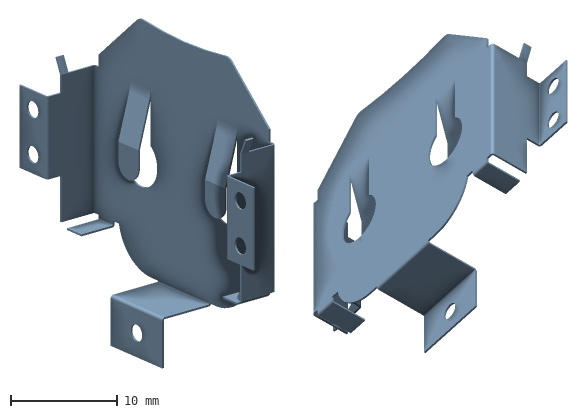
import cadquery as cq
import math


sheet = 0.193
inner_bend = 0.112
outer_bend = inner_bend + sheet
total_width = 35.1
total_depth = 5.9

plate_half_width = 12.75
shoulder_z = 25.3
peak_x = 6.67
peak_z = 30.8
peak_radius = 1.05
top_middle_z = 30.3
neck_half_width = 9.72
corner_radius = 5.0
plate_bottom_z = 5.2

wall_top_z = 24.0
wall_bottom_z = 9.2
wall_outer_x = 13.6
wall_depth = 4.18
foot_top_z = 22.2
foot_bottom_z = 13.85
hole_diameter = 1.7
foot_hole_x = 15.55
foot_hole_spacing = 4.53
foot_hole_middle_z = (foot_top_z + foot_bottom_z) / 2

ear_width = 0.88
ear_length = 1.75
ear_angle = 24.0

tab_inner_x = 10.6
tab_bottom_z = 8.55
tab_depth = 4.0

strap_width = 7.72
strap_hole_z = 2.42

finger_x = 6.5
finger_width = 3.0
finger_top_z = wall_top_z
finger_reach = 1.65
finger_bend_radius = 3.3
finger_angle = 15.5
tip_center_z = 16.4
window_radius = 2.53

fold_overlap = 1.4


def folded_leg(plane, leg_outer, leg_end):
    """L profile: a stretch of plate, then a leg whose outer face is at leg_outer."""
    start = leg_outer - outer_bend - fold_overlap
    return (
        cq.Workplane(plane)
        .moveTo(start, 0)
        .lineTo(leg_outer - outer_bend, 0)
        .tangentArcPoint((leg_outer, -outer_bend), relative=False)
        .lineTo(leg_outer, -leg_end)
        .lineTo(leg_outer - sheet, -leg_end)
        .lineTo(leg_outer - sheet, -outer_bend)
        .tangentArcPoint((leg_outer - outer_bend, -sheet), relative=False)
        .lineTo(start, -sheet)
        .close()
    )


def folded_foot(plane, leg_outer, foot_end):
    """Z profile: a stretch of plate, a full-depth leg and a foot pointing outward."""
    start = leg_outer - outer_bend - fold_overlap
    foot_back = sheet - total_depth
    foot_start = leg_outer + inner_bend
    return (
        cq.Workplane(plane)
        .moveTo(start, 0)
        .lineTo(leg_outer - outer_bend, 0)
        .tangentArcPoint((leg_outer, -outer_bend), relative=False)
        .lineTo(leg_outer, foot_back + inner_bend)
        .tangentArcPoint((foot_start, foot_back), relative=False)
        .lineTo(foot_end, foot_back)
        .lineTo(foot_end, -total_depth)
        .lineTo(foot_start, -total_depth)
        .tangentArcPoint((leg_outer - sheet, outer_bend - total_depth), relative=False)
        .lineTo(leg_outer - sheet, -outer_bend)
        .tangentArcPoint((leg_outer - outer_bend, -sheet), relative=False)
        .lineTo(start, -sheet)
        .close()
    )


def downward_plane(x):
    """Plane at the given X for profiles whose outward direction is -Z."""
    return cq.Plane(origin=(x, 0, 0), xDir=(0, 0, -1), normal=(1, 0, 0))


def both_sides(solid):
    return solid.union(solid.mirror("YZ"))


def make_plate():
    arc_height = wall_bottom_z - plate_bottom_z
    arc_span = math.sqrt(corner_radius**2 - (corner_radius - arc_height)**2)
    flat_half_width = neck_half_width - arc_span
    plate = (
        cq.Workplane("XZ")
        .moveTo(-flat_half_width, plate_bottom_z)
        .lineTo(flat_half_width, plate_bottom_z)
        .tangentArcPoint((neck_half_width, wall_bottom_z), relative=False)
        .lineTo(plate_half_width, wall_bottom_z)
        .lineTo(plate_half_width, shoulder_z)
        .lineTo(peak_x, peak_z)
        .threePointArc((0, top_middle_z), (-peak_x, peak_z))
        .lineTo(-plate_half_width, shoulder_z)
        .lineTo(-plate_half_width, wall_bottom_z)
        .lineTo(-neck_half_width, wall_bottom_z)
        .radiusArc((-flat_half_width, plate_bottom_z), -corner_radius)
        .close()
        .extrude(sheet)
    )
    return plate.edges("|Y and >Z").fillet(peak_radius)


def make_wall():
    """Side wall on +X with its foot and ear."""
    base_plane = cq.Plane.XY(origin=(0, 0, wall_bottom_z))
    foot_plane = cq.Plane.XY(origin=(0, 0, foot_bottom_z))
    wall = folded_leg(base_plane, wall_outer_x, wall_depth).extrude(wall_top_z - wall_bottom_z)
    foot = folded_foot(foot_plane, wall_outer_x, total_width / 2).extrude(foot_top_z - foot_bottom_z)
    holes = (
        cq.Workplane("XZ")
        .center(foot_hole_x, foot_hole_middle_z)
        .rarray(0.35, foot_hole_spacing, 1, 2)
        .circle(hole_diameter / 2)
        .extrude(total_depth)
    )
    return wall.union(foot).cut(holes).union(make_ear())


def make_ear():
    """Narrow strip at the wall's front top corner, leaning outward."""
    angle = math.radians(ear_angle)
    along = (ear_length * math.sin(angle), ear_length * math.cos(angle))
    across = (sheet * math.cos(angle), -sheet * math.sin(angle))
    miter = sheet * math.tan(angle / 2)
    inner_x = wall_outer_x - sheet
    tip = (inner_x + along[0], wall_top_z + along[1])
    return (
        cq.Workplane("XZ", origin=(0, ear_width - wall_depth, 0))
        .moveTo(inner_x, wall_top_z - miter)
        .lineTo(inner_x, wall_top_z)
        .lineTo(*tip)
        .lineTo(tip[0] + across[0], tip[1] + across[1])
        .lineTo(wall_outer_x, wall_top_z - miter)
        .close()
        .extrude(ear_width)
    )


def make_tab():
    """Stop tab below the +X lower edge of the plate."""
    profile = folded_leg(downward_plane(tab_inner_x), -tab_bottom_z, tab_depth)
    return profile.extrude(plate_half_width - tab_inner_x)


def make_strap():
    leg_bottom_z = plate_bottom_z - outer_bend
    strap = folded_foot(downward_plane(0), -leg_bottom_z, 0).extrude(strap_width / 2, both=True)
    hole = cq.Workplane("XZ").center(0, strap_hole_z).circle(hole_diameter / 2).extrude(total_depth)
    return strap.cut(hole)


def make_window():
    """Keyhole opening behind the +X finger."""
    slot_height = finger_top_z - tip_center_z
    slot = (
        cq.Workplane("XZ")
        .center(finger_x, tip_center_z + slot_height / 2)
        .rect(finger_width, slot_height)
        .extrude(sheet)
    )
    disc = cq.Workplane("XZ").center(finger_x, tip_center_z).circle(window_radius).extrude(sheet)
    return slot.union(disc)


def make_finger():
    """Spring finger on +X: curved root, straight slope, then a flat rounded tip."""
    angle = math.radians(finger_angle)
    front_radius = finger_bend_radius
    back_radius = front_radius + sheet
    bend_center_y = -sheet - front_radius

    def bend_point(radius, turn):
        return (bend_center_y + radius * math.cos(turn), finger_top_z - radius * math.sin(turn))

    front_bend_end = bend_point(front_radius, angle)
    back_bend_end = bend_point(back_radius, angle)
    knee_z = front_bend_end[1] - (front_bend_end[0] + finger_reach) / math.tan(angle)
    back_knee_z = knee_z - sheet * math.tan(angle / 2)
    half_width = finger_width / 2
    tip_bottom_z = tip_center_z - half_width
    tip_back_y = sheet - finger_reach

    strip = (
        cq.Workplane("YZ", origin=(finger_x, 0, 0))
        .moveTo(0, finger_top_z)
        .threePointArc(bend_point(back_radius, angle / 2), back_bend_end)
        .lineTo(tip_back_y, back_knee_z)
        .lineTo(tip_back_y, tip_bottom_z)
        .lineTo(-finger_reach, tip_bottom_z)
        .lineTo(-finger_reach, knee_z)
        .lineTo(*front_bend_end)
        .threePointArc(bend_point(front_radius, angle / 2), (-sheet, finger_top_z))
        .close()
        .extrude(half_width, both=True)
    )
    rounded_outline = (
        cq.Workplane("XZ")
        .moveTo(finger_x - half_width, finger_top_z)
        .lineTo(finger_x - half_width, tip_center_z)
        .threePointArc((finger_x, tip_bottom_z), (finger_x + half_width, tip_center_z))
        .lineTo(finger_x + half_width, finger_top_z)
        .close()
        .extrude(total_depth)
    )
    return strip.intersect(rounded_outline)


body = make_plate().union(both_sides(make_wall())).union(both_sides(make_tab())).union(make_strap())
result = body.cut(both_sides(make_window())).union(both_sides(make_finger()))